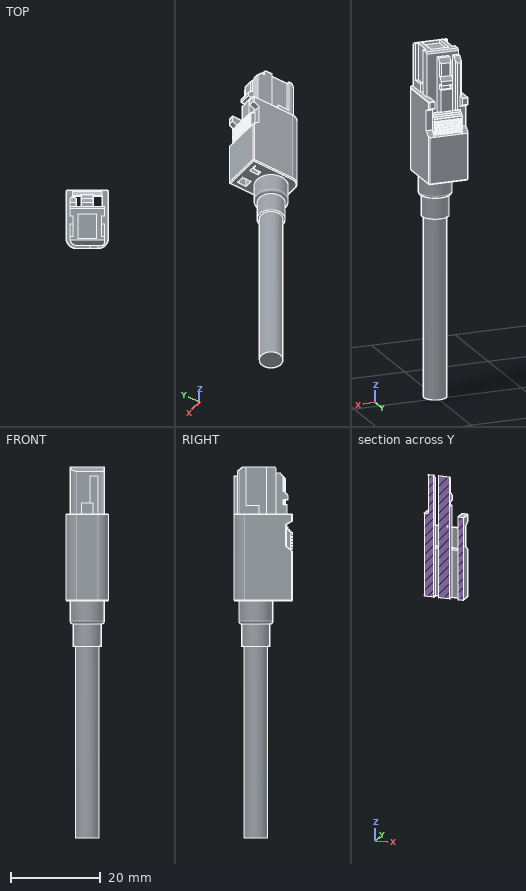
import cadquery as cq

TOTAL_HEIGHT = 82.5
HOUSING_TOP = 72.0
HOUSING_BOTTOM = 52.6
COLLAR_BOTTOM = 47.5
SLEEVE_BOTTOM = 42.6

CABLE_RADIUS = 2.6
SLEEVE_RADIUS = 3.1
COLLAR_RADIUS = 3.8
COLLAR_ROUNDING = 0.7

HOUSING_WIDTH = 9.5
HOUSING_FRONT = -4.9
HOUSING_BACK = 8.2
HOUSING_CORNER_RADIUS = 2.4
HOUSING_EDGE_CHAMFER = 0.25
HOUSING_RIM_CHAMFER = 0.1
CAVITY_WIDTH = 6.6
CAVITY_BACK = 6.8

WINDOW_DEPTH = 1.6
WINDOW_TOP_OUTER = 70.45
WINDOW_TOP_INNER = 69.6
WINDOW_BOTTOM_INNER = 64.9
WINDOW_BOTTOM_OUTER = 63.7

BUTTON_TOP_INNER = 69.0
BUTTON_TOP_OUTER = 67.5
BUTTON_BOTTOM = 64.2
RAMP_STEP_COUNT = 4
GROOVE_COUNT = 5
GROOVE_WIDTH = 0.3
GROOVE_DEPTH = 0.4

HEAD_WIDTH = 7.6
HEAD_FRONT = -4.1
HEAD_BACK = 4.5
HEAD_BACK_CHAMFER = 0.4
HEAD_LEFT_RADIUS = 1.4
HEAD_RIGHT_RADIUS = 0.5
HEAD_FRONT_CHAMFER_DEPTH = 1.2
HEAD_FRONT_CHAMFER_HEIGHT = 1.0

TOP_RECESS_WIDTH = 4.2
TOP_RECESS_FRONT = -2.55
TOP_RECESS_BACK = 2.8
TOP_RECESS_DEPTH = 0.7

SIDE_SLOT_FRONT = -2.15
SIDE_SLOT_BACK = 2.4
SIDE_SLOT_DEPTH = 0.7
SIDE_LEDGE_BACK = 0.7
SIDE_LEDGE_TOP = 73.9

KEY_LEFT = 0.7
KEY_RIGHT = 2.4
KEY_TOP = 80.4
NOTCH_WIDTH = 2.5
NOTCH_TOP = 74.5
NOTCH_DEPTH_IN_HEAD = 0.4

RAIL_TOP = 81.2
RAIL_CHAMFER_START = 5.4
RAIL_CHAMFER_SLOPE = 1.1
RAIL_EDGE_CHAMFER = 0.3
CODING_RAIL_WIDTH = 1.4
CODING_RAIL_BACK = 6.6
LATCH_RAIL_WIDTH = 2.7
LATCH_RAIL_BACK = 6.35

HOOK_BACK = 7.2
HOOK_TOP = 77.05
HOOK_SLOPE_BOTTOM = 76.15
HOOK_BOTTOM = 75.15
ROOT_BACK = 6.9
ROOT_TOP = 74.1


def box(x_range, y_range, z_range):
    """Box spanning the given (low, high) ranges."""
    lows, highs = zip(x_range, y_range, z_range)
    sizes = [high - low for low, high in zip(lows, highs)]
    return cq.Workplane("XY").box(*sizes, centered=False).translate(lows)


def centred(width):
    """Range of the given width about the middle plane."""
    return (-width / 2, width / 2)


def side_profile(points, x_range):
    """Prism of a (y, z) outline spanning a range along X."""
    left, right = x_range
    return cq.Workplane("YZ").polyline(points).close().extrude(right - left).translate((left, 0, 0))


def make_cable():
    cable = cq.Workplane("XY").circle(CABLE_RADIUS).extrude(HOUSING_BOTTOM)
    sleeve = (
        cq.Workplane("XY")
        .workplane(offset=SLEEVE_BOTTOM)
        .circle(SLEEVE_RADIUS)
        .extrude(HOUSING_BOTTOM - SLEEVE_BOTTOM)
    )
    collar = (
        cq.Workplane("XY")
        .workplane(offset=COLLAR_BOTTOM)
        .circle(COLLAR_RADIUS)
        .extrude(HOUSING_BOTTOM - COLLAR_BOTTOM)
        .faces("<Z")
        .edges()
        .fillet(COLLAR_ROUNDING)
    )
    return cable.union(sleeve).union(collar)


def make_housing():
    height_range = (HOUSING_BOTTOM, HOUSING_TOP)
    housing = box(centred(HOUSING_WIDTH), (HOUSING_FRONT, HOUSING_BACK), height_range)
    housing = housing.edges("|Z and <Y").fillet(HOUSING_CORNER_RADIUS)
    housing = housing.edges("|Z and >Y").chamfer(HOUSING_EDGE_CHAMFER)
    housing = housing.faces("<Z").edges().chamfer(HOUSING_EDGE_CHAMFER)
    housing = housing.faces(">Z").edges().chamfer(HOUSING_RIM_CHAMFER)
    cavity = box(centred(CAVITY_WIDTH), (HEAD_BACK, CAVITY_BACK), height_range)
    back_opening = box(
        centred(CAVITY_WIDTH), (CAVITY_BACK, HOUSING_BACK), (WINDOW_BOTTOM_OUTER, HOUSING_TOP)
    )
    window = side_profile(
        [
            (HOUSING_BACK, WINDOW_TOP_OUTER),
            (HOUSING_BACK - WINDOW_DEPTH, WINDOW_TOP_INNER),
            (HOUSING_BACK - WINDOW_DEPTH, WINDOW_BOTTOM_INNER),
            (HOUSING_BACK, WINDOW_BOTTOM_OUTER),
        ],
        centred(HOUSING_WIDTH),
    )
    return housing.cut(cavity).cut(back_opening).cut(window)


def make_button():
    """Release button with a stepped ramp on top and finger grooves across its back."""
    step_depth = (HOUSING_BACK - CAVITY_BACK) / RAMP_STEP_COUNT
    step_height = (BUTTON_TOP_INNER - BUTTON_TOP_OUTER) / RAMP_STEP_COUNT
    body_height = (BUTTON_BOTTOM, BUTTON_TOP_OUTER)
    button = box(centred(CAVITY_WIDTH), (CAVITY_BACK, HOUSING_BACK), body_height)
    for index in range(RAMP_STEP_COUNT):
        step = box(
            centred(CAVITY_WIDTH),
            (CAVITY_BACK, HOUSING_BACK - index * step_depth),
            (BUTTON_TOP_OUTER, BUTTON_TOP_OUTER + (index + 1) * step_height),
        )
        button = button.union(step)
    pitch = (BUTTON_TOP_OUTER - BUTTON_BOTTOM) / GROOVE_COUNT
    for index in range(GROOVE_COUNT):
        middle = BUTTON_BOTTOM + (index + 0.5) * pitch
        groove = box(
            centred(CAVITY_WIDTH),
            (HOUSING_BACK - GROOVE_DEPTH, HOUSING_BACK),
            (middle - GROOVE_WIDTH / 2, middle + GROOVE_WIDTH / 2),
        )
        button = button.cut(groove)
    return button


def make_head():
    head = box(centred(HEAD_WIDTH), (HEAD_FRONT, HEAD_BACK), (HOUSING_TOP, TOTAL_HEIGHT))
    head = head.edges("|Z and <Y and <X").fillet(HEAD_LEFT_RADIUS)
    head = head.edges("|Z and <Y and >X").fillet(HEAD_RIGHT_RADIUS)
    head = head.faces(">Z").edges(">Y").chamfer(HEAD_BACK_CHAMFER)
    front_chamfer = side_profile(
        [
            (HEAD_FRONT, TOTAL_HEIGHT),
            (HEAD_FRONT + HEAD_FRONT_CHAMFER_DEPTH, TOTAL_HEIGHT),
            (HEAD_FRONT, TOTAL_HEIGHT - HEAD_FRONT_CHAMFER_HEIGHT),
        ],
        centred(HEAD_WIDTH),
    )
    top_recess = box(
        centred(TOP_RECESS_WIDTH),
        (TOP_RECESS_FRONT, TOP_RECESS_BACK),
        (TOTAL_HEIGHT - TOP_RECESS_DEPTH, TOTAL_HEIGHT),
    )
    return head.cut(front_chamfer).cut(top_recess)


def make_side_slots():
    """Both side slots, each with a raised ledge at the front of its floor."""
    outline = [
        (SIDE_SLOT_BACK, TOTAL_HEIGHT),
        (SIDE_SLOT_BACK, HOUSING_TOP),
        (SIDE_LEDGE_BACK, HOUSING_TOP),
        (SIDE_LEDGE_BACK, SIDE_LEDGE_TOP),
        (SIDE_SLOT_FRONT, SIDE_LEDGE_TOP),
        (SIDE_SLOT_FRONT, TOTAL_HEIGHT),
    ]
    left = side_profile(outline, (-HEAD_WIDTH / 2, -HEAD_WIDTH / 2 + SIDE_SLOT_DEPTH))
    return left.union(left.mirror("YZ"))


def make_rail(x_range, rail_back):
    """Full-height rail behind the head, with a sloped top and bevelled back edges."""
    slope_bottom = RAIL_TOP - RAIL_CHAMFER_SLOPE * (rail_back - RAIL_CHAMFER_START)
    rail = side_profile(
        [
            (HEAD_BACK, HOUSING_BOTTOM),
            (HEAD_BACK, RAIL_TOP),
            (RAIL_CHAMFER_START, RAIL_TOP),
            (rail_back, slope_bottom),
            (rail_back, HOUSING_BOTTOM),
        ],
        x_range,
    )
    return rail.edges("|Z and >Y").chamfer(RAIL_EDGE_CHAMFER)


def make_latch():
    rail_range = centred(LATCH_RAIL_WIDTH)
    hook = side_profile(
        [
            (HEAD_BACK, HOOK_BOTTOM),
            (HOOK_BACK, HOOK_BOTTOM),
            (HOOK_BACK, HOOK_SLOPE_BOTTOM),
            (LATCH_RAIL_BACK, HOOK_TOP),
            (HEAD_BACK, HOOK_TOP),
        ],
        rail_range,
    )
    root = box(rail_range, (HEAD_BACK, ROOT_BACK), (HOUSING_BOTTOM, ROOT_TOP))
    return make_rail(rail_range, LATCH_RAIL_BACK).union(hook).union(root).union(make_button())


coding_rail_range = (-HEAD_WIDTH / 2, -HEAD_WIDTH / 2 + CODING_RAIL_WIDTH)
coding_rail = make_rail(coding_rail_range, CODING_RAIL_BACK)
key = box((KEY_LEFT, KEY_RIGHT), (HOUSING_FRONT, HEAD_BACK), (HOUSING_TOP, KEY_TOP))
front_notch = box(
    centred(NOTCH_WIDTH),
    (HOUSING_FRONT, HEAD_FRONT + NOTCH_DEPTH_IN_HEAD),
    (HOUSING_TOP, NOTCH_TOP),
)

head = make_head().cut(make_side_slots()).union(key).cut(front_notch)
result = make_cable().union(make_housing()).union(head).union(coding_rail).union(make_latch())